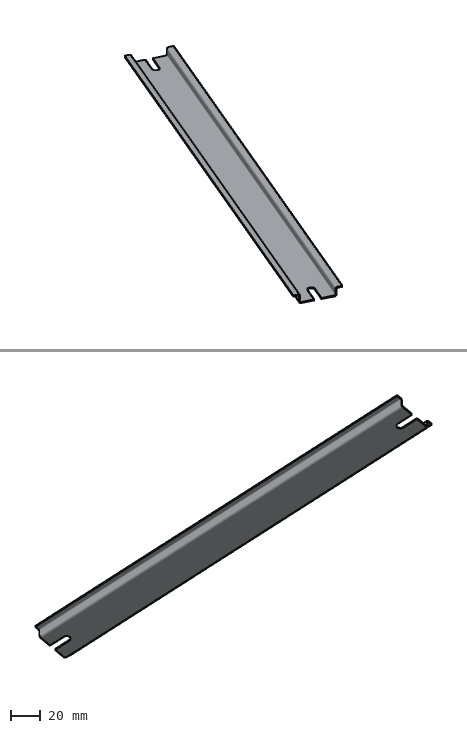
import cadquery as cq

length = 321.0
overall_width = 35.0
height = 7.5
sheet = 1.0
channel_width = 27.0
inner_bend = 0.8
outer_bend = inner_bend + sheet

slot_width = 5.0
slot_depth = 15.0

half_length = length / 2
half_width = overall_width / 2
half_channel = channel_width / 2


def rail_body():
    """Extrude the hat section: floor, two webs and two outward flanges."""
    inner_wall = half_channel - sheet
    profile = (
        cq.Workplane("YZ")
        .workplane(offset=-half_length)
        .polyline([
            (-half_channel, 0),
            (half_channel, 0),
            (half_channel, height - sheet),
            (half_width, height - sheet),
            (half_width, height),
            (inner_wall, height),
            (inner_wall, sheet),
            (-inner_wall, sheet),
            (-inner_wall, height),
            (-half_width, height),
            (-half_width, height - sheet),
            (-half_channel, height - sheet),
        ])
        .close()
    )
    return profile.extrude(length)


def bend_edges(body, y, z):
    """Select the lengthwise corner edges at +y and -y, height z."""
    reach = 0.03
    selected = body.edges(
        cq.selectors.BoxSelector((-length, y - reach, z - reach), (length, y + reach, z + reach))
    )
    return selected.add(body.edges(
        cq.selectors.BoxSelector((-length, -y - reach, z - reach), (length, -y + reach, z + reach))
    ))


def round_bends(body):
    """Give each bend concentric inner and outer radii."""
    inner_wall = half_channel - sheet
    bends = [
        (half_channel, 0, outer_bend),
        (inner_wall, sheet, inner_bend),
        (inner_wall, height, outer_bend),
        (half_channel, height - sheet, inner_bend),
    ]
    for y, z, radius in bends:
        body = bend_edges(body, y, z).fillet(radius)
    return body


def end_slot(side):
    """Round-ended slot through the floor, open at the end on the given side."""
    return (
        cq.Workplane("XY")
        .center(side * half_length, 0)
        .slot2D(2 * slot_depth, slot_width)
        .extrude(height)
    )


result = round_bends(rail_body())
for side in (-1, 1):
    result = result.cut(end_slot(side))